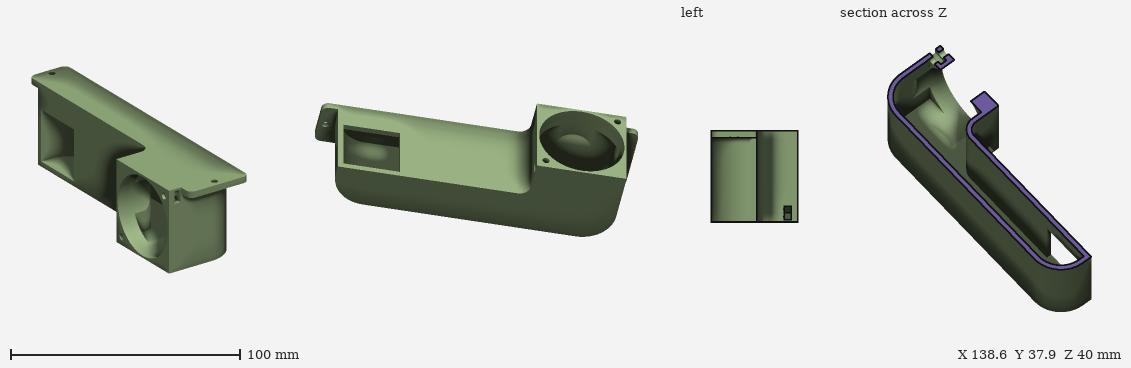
import cadquery as cq
import math

length = 138.6
depth = 37.9
height = 40.0
wall = 2.5

body_left = 6.8
body_right = 131.7
channel_depth = 20.0
fan_size = height
fan_left = body_right - fan_size
back_radius = 15.0
inside_corner_radius = 5.0

plate_thickness = 3.0
plate_right_depth = 31.6
plate_corner_radius = 3.0
screw_diameter = 3.2
left_screw = (3.3, -10.0)
right_screw = (134.9, -16.0)

fan_bore_diameter = 38.0
fan_bore_depth = 18.5
bore_end_radius = 7.5
fan_wall = 8.0
fan_center_x = fan_left + fan_size / 2
fan_center_z = height / 2
fan_screw_offset = 16.0
nut_width = 6.0
nut_thickness = 3.0
nut_setback = 2.9

window_width = 25.1
window_height = 25.0

cut_margin = 1.4


def duct_outline(inset, front_wall):
    """Plan of the duct, moved inward by inset, with the fan block's front set back by front_wall."""
    left = body_left + inset
    right = body_right - inset
    back = -inset
    channel_front = -channel_depth + inset
    block_left = fan_left + inset
    corner_radius = back_radius - inset
    fillet_radius = inside_corner_radius + inset
    bend = math.sqrt(0.5)
    return (
        cq.Workplane("XY")
        .moveTo(left, channel_front)
        .lineTo(left, back - corner_radius)
        .threePointArc(
            (left + corner_radius * (1 - bend), back - corner_radius * (1 - bend)),
            (left + corner_radius, back),
        )
        .lineTo(right - corner_radius, back)
        .threePointArc(
            (right - corner_radius * (1 - bend), back - corner_radius * (1 - bend)),
            (right, back - corner_radius),
        )
        .lineTo(right, -depth + front_wall)
        .lineTo(block_left, -depth + front_wall)
        .lineTo(block_left, channel_front - fillet_radius)
        .threePointArc(
            (block_left - fillet_radius * (1 - bend), channel_front - fillet_radius * (1 - bend)),
            (block_left - fillet_radius, channel_front),
        )
        .close()
    )


def mounting_plate():
    """Plate flush with the top, reaching past both ends of the duct."""
    left_part = (
        cq.Workplane("XY")
        .box(fan_left, channel_depth, plate_thickness, centered=False)
        .translate((0, -channel_depth, 0))
        .edges("|Z and <X")
        .fillet(plate_corner_radius)
    )
    right_part = (
        cq.Workplane("XY")
        .box(length - fan_left, plate_right_depth, plate_thickness, centered=False)
        .translate((fan_left, -plate_right_depth, 0))
        .edges("|Z and >X")
        .fillet(plate_corner_radius)
    )
    plate = left_part.union(right_part)
    screws = (
        cq.Workplane("XY")
        .pushPoints([left_screw, right_screw])
        .circle(screw_diameter / 2)
        .extrude(plate_thickness)
    )
    return plate.cut(screws).translate((0, 0, height - plate_thickness))


def front_cylinder(x, z, diameter, cylinder_depth):
    """Cylinder running back from the front face of the fan block."""
    return (
        cq.Workplane("XZ", origin=(x, -depth, z))
        .circle(diameter / 2)
        .extrude(-cylinder_depth)
    )


def bore_half_limit():
    """Upper half of the bore's envelope: flat at the bore's radius, then an arc down to the cavity wall."""
    bore_radius = fan_bore_diameter / 2
    cavity_half = fan_size / 2 - wall
    drop = bore_radius - cavity_half
    arc_run = math.sqrt(bore_end_radius**2 - (bore_end_radius - drop) ** 2)
    middle_rise = bore_end_radius - math.sqrt(bore_end_radius**2 - (arc_run / 2) ** 2)
    end = -depth + fan_bore_depth
    return (
        cq.Workplane("YZ", origin=(fan_center_x, 0, fan_center_z))
        .moveTo(-depth, 0)
        .lineTo(-depth, bore_radius)
        .lineTo(end - arc_run, bore_radius)
        .threePointArc((end - arc_run / 2, cavity_half + middle_rise), (end, cavity_half))
        .lineTo(end, 0)
        .close()
        .extrude(bore_radius, both=True)
    )


def fan_bore():
    """Round bore blending into the cavity's floor, roof and right wall; plain toward the channel."""
    bore = front_cylinder(fan_center_x, fan_center_z, fan_bore_diameter, fan_bore_depth)
    upper = bore_half_limit()
    lower = upper.mirror("XY", (0, 0, fan_center_z))
    axis_start = (fan_center_x, 0, fan_center_z)
    axis_end = (fan_center_x, 1, fan_center_z)
    right = upper.rotate(axis_start, axis_end, 90)
    left = (
        cq.Workplane("XY")
        .box(fan_size / 2, fan_bore_depth, fan_size, centered=False)
        .translate((fan_left, -depth, 0))
    )
    return bore.intersect(upper.union(lower)).intersect(right.union(left))


def nut_trap(x, z, side):
    """Hexagonal nut pocket with a slot to the side face; side is -1 for left, +1 for right."""
    front = -depth + nut_setback
    nut = (
        cq.Workplane("XZ", origin=(x, front, z))
        .polygon(6, nut_width / math.cos(math.pi / 6))
        .extrude(-nut_thickness)
    )
    slot_length = fan_size / 2 - fan_screw_offset + cut_margin
    slot = (
        cq.Workplane("XY")
        .box(slot_length, nut_thickness, nut_width)
        .translate((x + side * slot_length / 2, front + nut_thickness / 2, z))
    )
    return nut.union(slot)


duct = duct_outline(0, 0).extrude(height)
cavity = duct_outline(wall, fan_wall).extrude(height - 2 * wall).translate((0, 0, wall))
result = duct.union(mounting_plate()).cut(cavity)

result = result.cut(fan_bore())
for direction in (-1, 1):
    screw_x = fan_center_x + direction * fan_screw_offset
    screw_z = fan_center_z + direction * fan_screw_offset
    result = result.cut(front_cylinder(screw_x, screw_z, screw_diameter, fan_wall + cut_margin))
    result = result.cut(nut_trap(screw_x, screw_z, direction))

window = (
    cq.Workplane("XY")
    .box(window_width, wall + 2 * cut_margin, window_height, centered=False)
    .translate((body_left + wall, -channel_depth - cut_margin, wall))
)
result = result.cut(window)